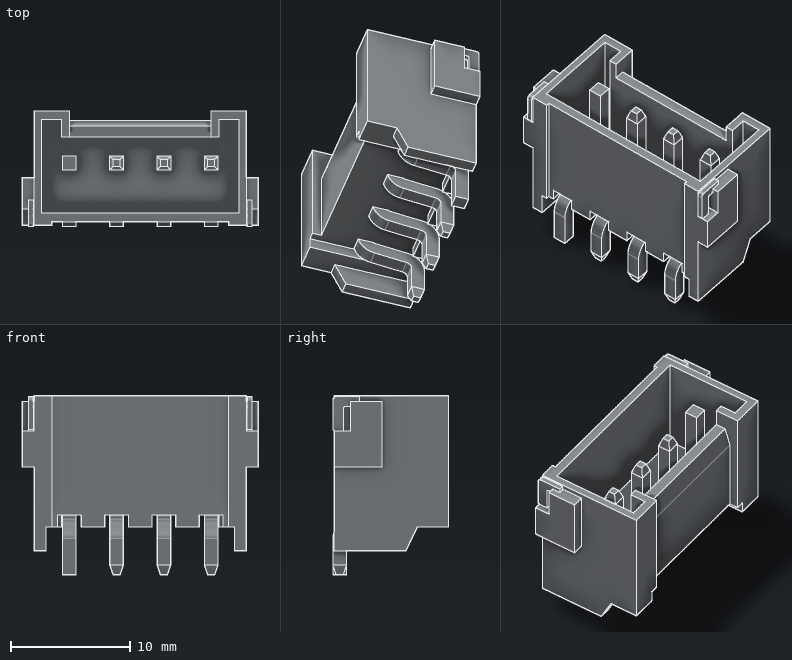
import cadquery as cq
import math


overall_width = 19.8
housing_top = 15.0
lug_width = 1.0
housing_half = overall_width / 2 - lug_width
housing_depth = 9.6
side_wall = 0.61
front_wall_inner_y = 1.05
rear_wall_inner_y = 7.42
rear_wall_outer_y = 8.81
rear_wall_top = 13.4
rear_bevel_run = 0.5
rear_bevel_drop = 1.6
rim_bottom = 4.0
floor_bottom = 5.0
floor_thickness = 1.19
floor_top = floor_bottom + floor_thickness
front_recess_half = 7.4
front_recess_depth = 0.3
front_protrusion = 0.1

post_inner_x = 5.92
post_pocket_x = 6.6
post_pocket_rear_y = 8.87

foot_bottom = 2.0
foot_thickness = 1.0
foot_slope_bottom_y = 6.02
foot_slope_top_y = 6.99

lug_depth = 4.0
lug_bottom = 9.03
lug_top = 14.53
lug_step_y = 1.37
lug_step_z = 12.05

clip_gap = 0.05
clip_thickness = 0.42
clip_top = 14.93
clip_bar_height = 0.81
clip_bar_rear_y = 2.12
clip_leg_rear_y = 0.81
clip_outer_radius = 0.3
clip_inner_radius = 0.14
clip_end_chamfer = 0.12

pin_pitch = 3.96
pin_count = 4
pin_size = 1.15
pin_top = 13.75
pin_center_y = 5.23
bend_outer_radius = 1.65
bend_inner_radius = bend_outer_radius - pin_size
tail_bend_z = 3.05
run_angle = 5.0
tip_length = 0.81
tip_inset = 0.28
notch_width = 1.98

pin_positions = [(i - (pin_count - 1) / 2) * pin_pitch for i in range(pin_count)]


def block(x0, x1, y0, y1, z0, z1):
    """Axis-aligned box between two opposite corners."""
    return cq.Workplane("XY").box(x1 - x0, y1 - y0, z1 - z0, centered=False).translate((x0, y0, z0))


def centered_block(half_width, y0, y1, z0, z1):
    """Box that is symmetric about X = 0."""
    return block(-half_width, half_width, y0, y1, z0, z1)


def both_sides(shape):
    """The shape together with its mirror image across X = 0."""
    return shape.union(shape.mirror("YZ"))


def make_housing():
    """Open-topped shell with its rear posts, pin channel and front notches."""
    body = centered_block(housing_half, 0, housing_depth, rim_bottom, housing_top)

    cavity_half = housing_half - side_wall
    body = body.cut(
        centered_block(cavity_half, front_wall_inner_y, rear_wall_inner_y, floor_top, housing_top)
    )
    corner_pocket = block(
        post_pocket_x, cavity_half, rear_wall_inner_y, post_pocket_rear_y, floor_top, housing_top
    )
    body = body.cut(both_sides(corner_pocket))

    body = body.cut(
        centered_block(front_recess_half, 0, front_recess_depth, rim_bottom, housing_top)
    )

    body = body.cut(
        centered_block(post_inner_x, rear_wall_inner_y, housing_depth, rear_wall_top, housing_top)
    )
    rear_relief = (
        cq.Workplane("YZ")
        .moveTo(rear_wall_outer_y, rim_bottom)
        .lineTo(housing_depth, rim_bottom)
        .lineTo(housing_depth, rear_wall_top)
        .lineTo(rear_wall_outer_y - rear_bevel_run, rear_wall_top)
        .lineTo(rear_wall_outer_y, rear_wall_top - rear_bevel_drop)
        .close()
        .extrude(post_inner_x, both=True)
    )
    body = body.cut(rear_relief)

    body = body.cut(
        centered_block(post_pocket_x, front_wall_inner_y, housing_depth, rim_bottom, floor_bottom)
    )

    for x in pin_positions:
        body = body.cut(
            block(x - notch_width / 2, x + notch_width / 2, 0, front_wall_inner_y, rim_bottom, floor_bottom)
        )
    return body


def make_foot():
    """Side foot at +X with a sloped rear edge."""
    return (
        cq.Workplane("YZ", origin=(housing_half - foot_thickness, 0, 0))
        .moveTo(0, foot_bottom)
        .lineTo(foot_slope_bottom_y, foot_bottom)
        .lineTo(foot_slope_top_y, rim_bottom)
        .lineTo(0, rim_bottom)
        .close()
        .extrude(foot_thickness)
    )


def make_lug():
    """Side lug at +X with a step that seats the clip."""
    outer_x = overall_width / 2
    lug = block(housing_half, outer_x, 0, lug_depth, lug_bottom, lug_top)
    return lug.cut(block(housing_half, outer_x, 0, lug_step_y, lug_step_z, lug_top))


def make_clip():
    """L-shaped clip at +X: a bar set into the lug and a leg down to its step."""
    front_y = -front_protrusion
    bar_bottom = clip_top - clip_bar_height
    inner_x = housing_half + clip_gap
    clip = block(inner_x, inner_x + clip_thickness, front_y, clip_bar_rear_y, bar_bottom, clip_top)
    leg = block(inner_x, inner_x + clip_thickness, front_y, clip_leg_rear_y, lug_step_z, clip_top)
    clip = clip.union(leg)
    clip = clip.edges("|X and >Z and <Y").fillet(clip_outer_radius)
    inner_corner = cq.selectors.NearestToPointSelector((inner_x, clip_leg_rear_y, bar_bottom))
    clip = clip.edges("|X").edges(inner_corner).fillet(clip_inner_radius)
    return clip.faces("<Z").edges("<Y").chamfer(clip_end_chamfer, front_protrusion)


def make_tip(x, y, base_z, end_z):
    """Square frustum closing one end of a pin."""
    end_size = pin_size - 2 * tip_inset
    return (
        cq.Workplane("XY", origin=(x, y, base_z))
        .rect(pin_size, pin_size)
        .workplane(offset=end_z - base_z)
        .rect(end_size, end_size)
        .loft(ruled=True)
    )


def make_pin(x, pointed):
    """Pin that runs down through the floor, forward below it and down again."""
    tail_front = -front_protrusion
    tail_back = tail_front + pin_size
    post_front = pin_center_y - pin_size / 2
    post_back = pin_center_y + pin_size / 2
    tail_end = tip_length if pointed else 0
    post_end = pin_top - tail_end

    up_y = -math.sin(math.radians(run_angle))
    up_z = math.cos(math.radians(run_angle))

    tail_bend_y = tail_front + bend_outer_radius
    post_bend_y = post_back - bend_outer_radius
    bend_spacing = bend_outer_radius + bend_inner_radius
    post_bend_z = tail_bend_z + (bend_spacing - up_y * (post_bend_y - tail_bend_y)) / up_z

    def tail_bend_end(radius):
        return (tail_bend_y + radius * up_y, tail_bend_z + radius * up_z)

    def post_bend_end(radius):
        return (post_bend_y - radius * up_y, post_bend_z - radius * up_z)

    pin = (
        cq.Workplane("YZ", origin=(x, 0, 0))
        .moveTo(tail_front, tail_end)
        .lineTo(tail_front, tail_bend_z)
        .radiusArc(tail_bend_end(bend_outer_radius), bend_outer_radius)
        .lineTo(*post_bend_end(bend_inner_radius))
        .radiusArc((post_front, post_bend_z), -bend_inner_radius)
        .lineTo(post_front, post_end)
        .lineTo(post_back, post_end)
        .lineTo(post_back, post_bend_z)
        .radiusArc(post_bend_end(bend_outer_radius), bend_outer_radius)
        .lineTo(*tail_bend_end(bend_inner_radius))
        .radiusArc((tail_back, tail_bend_z), -bend_inner_radius)
        .lineTo(tail_back, tail_end)
        .close()
        .extrude(pin_size / 2, both=True)
    )
    if pointed:
        pin = pin.union(make_tip(x, (tail_front + tail_back) / 2, tail_end, 0))
        pin = pin.union(make_tip(x, pin_center_y, post_end, pin_top))
    return pin


result = make_housing()
for side_feature in (make_foot(), make_lug(), make_clip()):
    result = result.union(both_sides(side_feature))

for index, pin_x in enumerate(pin_positions):
    result = result.union(make_pin(pin_x, pointed=index > 0))